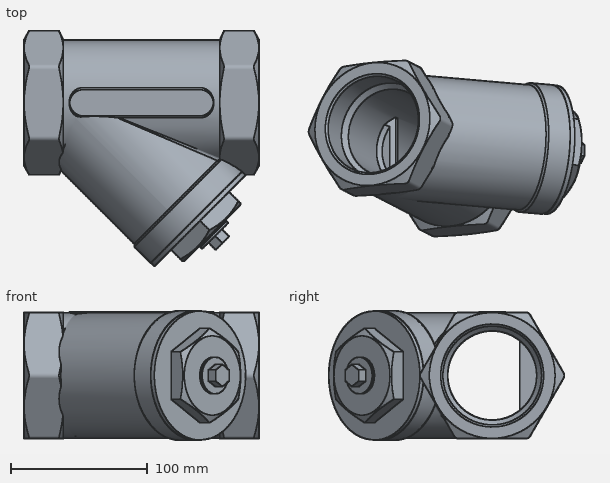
import cadquery as cq
import math

run_length = 172
pipe_diameter = 92
junction_radius = 1.5
crease_slab_height = 0.97 * pipe_diameter
end_hex_flats = 92.5
end_hex_width = 29.5
end_hex_edge_radius = 4
end_hex_face_diameter = 92
end_hex_inner_diameter = 89
end_hex_bevel_depth = 4.3
bevel_reach_diameter = 107.4

bore_diameter = 65
thread_diameter = 72.22
thread_depth = 25.5
thread_runout = 4.5
mouth_diameter = 75.4

web_edge_y = 20
web_thickness = 10
web_corner_bevel = 3.1

branch_angle = 45
branch_origin_x = -43.5
collar_diameter = 95
collar_start = 101.5
collar_end = 118.4
cap_diameter = 94.5
cap_end = 122.05

cap_nut_flats = 60
cap_nut_height = 12.7
cap_nut_face_diameter = 58
cap_nut_bevel_depth = 3
washer_diameter = 27
washer_step_diameter = 26
washer_height = 3
washer_step_height = 1
plug_flats = 14
plug_height = 7.5

pad_length = 105
pad_width = 19
pad_top_z = 46.5
pad_height = 2.5
pad_draft_angle = 40


def across_corners(flats):
    """Across-corners size of a regular hexagon."""
    return flats / math.cos(math.pi / 6)


def axis_cylinder(plane, diameter, start, end):
    """Cylinder along a plane's normal between two stations."""
    return cq.Workplane(plane).workplane(offset=start).circle(diameter / 2).extrude(end - start)


def axis_hexagon(plane, flats, start, end):
    """Hexagonal prism along a plane's normal, with two corners on the plane's local X axis."""
    corners = across_corners(flats)
    return cq.Workplane(plane).workplane(offset=start).polygon(6, corners).extrude(end - start)


def axis_cone(plane, start_diameter, end_diameter, start, end):
    """Truncated cone along a plane's normal between two stations."""
    base = cq.Workplane(plane).workplane(offset=start).circle(start_diameter / 2)
    return base.workplane(offset=end - start).circle(end_diameter / 2).loft(ruled=True)


run_plane = cq.Plane(origin=(0, 0, 0), xDir=(0, 1, 0), normal=(1, 0, 0))
branch_plane = cq.Plane(
    origin=(branch_origin_x, 0, 0),
    xDir=(0, 0, 1),
    normal=(math.cos(math.radians(branch_angle)), -math.sin(math.radians(branch_angle)), 0),
)


def end_hexagon():
    """Hexagonal connection at the +X end, bevelled towards both faces."""
    outer = run_length / 2
    inner = outer - end_hex_width
    prism = axis_hexagon(run_plane, end_hex_flats, inner, outer).edges("|X").fillet(end_hex_edge_radius)
    bevel_inner = inner + end_hex_bevel_depth
    bevel_outer = outer - end_hex_bevel_depth
    envelope = (
        axis_cone(run_plane, end_hex_inner_diameter, bevel_reach_diameter, inner, bevel_inner)
        .union(axis_cylinder(run_plane, bevel_reach_diameter, bevel_inner, bevel_outer))
        .union(axis_cone(run_plane, bevel_reach_diameter, end_hex_face_diameter, bevel_outer, outer))
    )
    return prism.intersect(envelope)


def joined_pipes():
    """Run pipe and branch pipe with a fillet along the creases where they meet.

    The creases fade out where the two pipes are tangent, at the top and bottom, so the
    fillet is made on a middle slab that leaves those points out.
    """
    run = axis_cylinder(run_plane, pipe_diameter, -run_length / 2, run_length / 2)
    branch = axis_cylinder(branch_plane, pipe_diameter, 0, collar_end)
    pipes = run.union(branch)
    slab = cq.Workplane("XY").box(2 * run_length, 2 * run_length, crease_slab_height)
    middle = pipes.intersect(slab).edges("%ELLIPSE").fillet(junction_radius)
    return pipes.cut(slab).union(middle).clean()


def collar_and_cap():
    """Bevelled collar and cap at the end of the branch."""
    bevel_foot_diameter = pipe_diameter - 2
    bevel_length = (collar_diameter - bevel_foot_diameter) / 2
    bevel = axis_cone(
        branch_plane, bevel_foot_diameter, collar_diameter, collar_start - bevel_length, collar_start
    )
    collar = axis_cylinder(branch_plane, collar_diameter, collar_start, collar_end)
    cap = axis_cylinder(branch_plane, cap_diameter, collar_end, cap_end)
    return bevel.union(collar).union(cap)


def cap_fittings():
    """Hexagonal nut, stepped washer and hexagonal plug on the cap."""
    nut_end = cap_end + cap_nut_height
    washer_end = nut_end + washer_height
    bevel_start = nut_end - cap_nut_bevel_depth
    nut_corners = across_corners(cap_nut_flats)
    nut_envelope = axis_cylinder(branch_plane, nut_corners, cap_end, bevel_start).union(
        axis_cone(branch_plane, nut_corners, cap_nut_face_diameter, bevel_start, nut_end)
    )
    nut = axis_hexagon(branch_plane, cap_nut_flats, cap_end, nut_end).intersect(nut_envelope)
    step = axis_cylinder(branch_plane, washer_step_diameter, nut_end, nut_end + washer_step_height)
    washer = axis_cylinder(branch_plane, washer_diameter, nut_end + washer_step_height, washer_end)
    plug = axis_hexagon(branch_plane, plug_flats, washer_end, washer_end + plug_height)
    return nut.union(step).union(washer).union(plug)


def label_pad():
    """Flat-topped pad with round ends and sloping sides on the +Z side of the run."""
    return (
        cq.Workplane("XY", origin=(0, 0, pad_top_z))
        .slot2D(pad_length, pad_width)
        .extrude(-pad_height, taper=-pad_draft_angle)
    )


def run_bore():
    """Bore through the run, left closed on its +Y side by a web with bevelled edge and corner."""
    bore = axis_cylinder(run_plane, bore_diameter, -run_length / 2, run_length / 2)
    rim_x = -web_thickness / 2
    face_x = rim_x + web_corner_bevel
    web = (
        cq.Workplane("XY")
        .workplane(offset=-bore_diameter / 2)
        .moveTo(web_thickness / 2, web_edge_y)
        .lineTo(face_x + web_corner_bevel, web_edge_y)
        .lineTo(rim_x, web_edge_y + 2 * web_corner_bevel)
        .lineTo(rim_x, bore_diameter / 2)
        .lineTo(web_thickness / 2, bore_diameter / 2)
        .close()
        .extrude(bore_diameter)
    )
    face_diameter = bore_diameter - 2 * web_corner_bevel
    corner_bevel = axis_cone(run_plane, bore_diameter, face_diameter, rim_x, face_x)
    return bore.cut(web.cut(corner_bevel))


def thread_bore():
    """Thread bore at the +X end with a bevelled mouth and a conical run-out."""
    outer = run_length / 2
    thread_end = outer - thread_depth
    mouth_depth = (mouth_diameter - thread_diameter) / 2
    thread = axis_cylinder(run_plane, thread_diameter, thread_end, outer)
    mouth = axis_cone(run_plane, thread_diameter, mouth_diameter, outer - mouth_depth, outer)
    runout = axis_cone(run_plane, bore_diameter, thread_diameter, thread_end - thread_runout, thread_end)
    return thread.union(mouth).union(runout)


body = joined_pipes().union(collar_and_cap())
connection = end_hexagon()
body = body.union(connection).union(connection.mirror("YZ"))
body = body.union(cap_fittings()).union(label_pad())
thread_cut = thread_bore()
result = body.cut(run_bore()).cut(thread_cut).cut(thread_cut.mirror("YZ"))